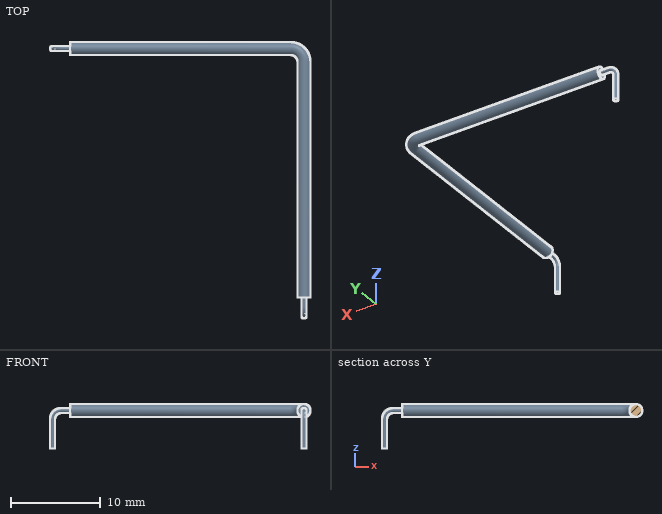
import cadquery as cq

length_x = 29.28
length_y = 31.08
height = 5.05

wire_diameter = 0.6
sleeve_diameter = 1.5

elbow_radius = 1.5
leg_bend_radius = 0.95
bare_x = 2.27
bare_y = 2.35

wire_radius = wire_diameter / 2
sleeve_radius = sleeve_diameter / 2

outer_x = sleeve_radius - length_x
outer_y = sleeve_radius - length_y
sleeve_end_x = outer_x + bare_x
sleeve_end_y = outer_y + bare_y
leg_bottom = sleeve_radius - height


def make_sleeve():
    """Sleeve along both arms, with a quarter-turn corner."""
    path = (
        cq.Workplane("XY")
        .moveTo(sleeve_end_x, 0)
        .lineTo(-elbow_radius, 0)
        .tangentArcPoint((0, -elbow_radius), relative=False)
        .lineTo(0, sleeve_end_y)
    )
    profile = cq.Workplane("YZ", origin=(sleeve_end_x, 0, 0)).circle(sleeve_radius)
    return profile.sweep(path)


def make_bare_end(plane, outer_edge, sleeve_end):
    """Bare wire leaving the sleeve and bending down, drawn in a vertical plane."""
    leg_centre = outer_edge + wire_radius
    embedded_end = sleeve_end + sleeve_radius
    path = (
        cq.Workplane(plane)
        .moveTo(leg_centre, leg_bottom)
        .lineTo(leg_centre, -leg_bend_radius)
        .tangentArcPoint((leg_centre + leg_bend_radius, 0), relative=False)
        .lineTo(embedded_end, 0)
    )
    foot = cq.Plane.named(plane).toWorldCoords((leg_centre, leg_bottom))
    profile = cq.Workplane("XY", origin=foot).circle(wire_radius)
    return profile.sweep(path)


end_x = make_bare_end("XZ", outer_x, sleeve_end_x)
end_y = make_bare_end("YZ", outer_y, sleeve_end_y)
result = make_sleeve().union(end_x).union(end_y)